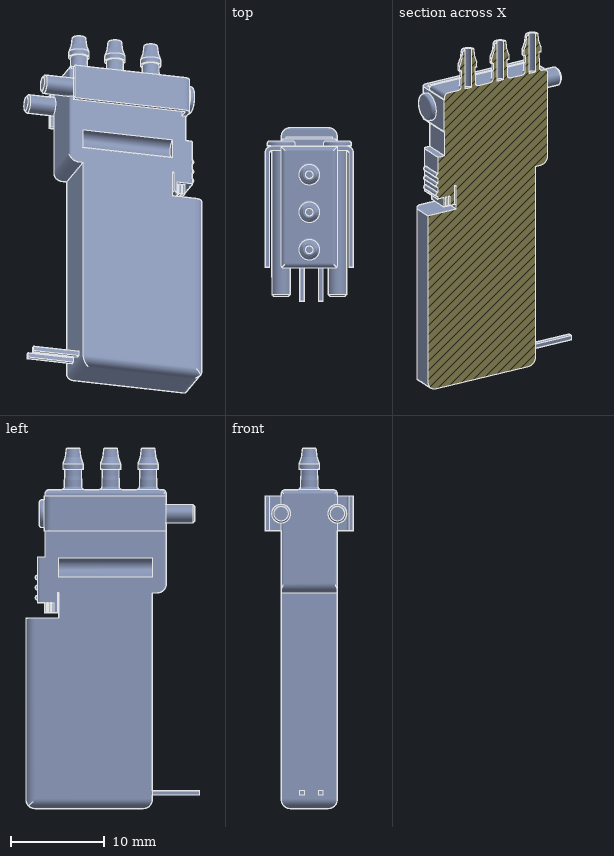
import cadquery as cq

body_width = 6.0
half_width = body_width / 2

coil_back = 13.48
coil_top = 20.3
coil_round = 1.0
back_bevel_depth = 0.23
back_bevel_drop = 0.05

total_height = 38.4
head_front = -1.5
head_back = 11.45
head_bottom = 22.95
head_top = 34.0
head_foot_round = 1.0
head_front_round = 0.3
head_top_round = 0.5

neck_back = 10.0
slot_width = 0.1
slot_top = 23.0
lip_back = 10.5
lip_bottom = 20.85

plug_back = 12.25
plug_bottom = 21.93
plug_top = 26.8
plug_round = 0.35

ridge_length = 5.0
ridge_radius = 0.25
ridge_centre_inset = 0.05
ridge_spacing = 1.08
ridge_lowest = 22.45
ridge_count = 3

contact_back = 11.5
contact_width = 5.0
contact_count = 3
contact_gap = 0.1

groove_radius = 1.0
groove_z = 25.7

clip_width = 9.4
clip_thickness = 0.5
clip_bottom = 29.55
clip_top = 33.3
clip_front = -1.42
clip_back = 11.52
clip_bend_radius = 0.73

screw_diameter = 2.0
screw_z = 31.4
screw_tip = -4.55
screw_tip_chamfer = 0.23
screw_head_diameter = 3.0
screw_head_thickness = 0.55
screw_head_round = 0.3

barb_spacing = 4.0
barb_first_y = 0.45
barb_count = 3
barb_bore_diameter = 0.8
barb_bore_depth = 4.4
barb_root_flare = 0.3

pin_width = 0.5
pin_spacing = 2.0
pin_centre_x = 0.23
pin_z = 1.7
pin_tip = -5.03


def box(x_range, y_range, z_range):
    """Axis-aligned box between the given pairs of limits."""
    lows, highs = zip(x_range, y_range, z_range)
    size = [high - low for low, high in zip(lows, highs)]
    return cq.Workplane("XY").box(*size, centered=False).translate(lows)


def cylinder_along_y(diameter, x, z, y_start, y_end):
    """Round bar parallel to Y between two Y positions."""
    bar = cq.Workplane("XZ").circle(diameter / 2).extrude(y_start - y_end)
    return bar.translate((x, y_start, z))


def make_coil():
    """Solenoid coil housing with the neck that rises into the head."""
    across = (-half_width, half_width)
    block = box(across, (0, coil_back), (0, coil_top))
    round_backed = block.edges("|Z and >Y").fillet(coil_round)
    round_footed = block.faces("<Z").edges().fillet(coil_round)
    coil = round_backed.intersect(round_footed)
    bevel = (
        cq.Workplane("YZ")
        .moveTo(coil_back, coil_top)
        .lineTo(coil_back - back_bevel_depth, coil_top)
        .lineTo(coil_back, coil_top - back_bevel_drop)
        .close()
        .extrude(half_width, both=True)
    )
    coil = coil.cut(bevel)
    neck = box(across, (0, neck_back), (coil_top - coil_round, head_bottom + head_foot_round))
    return coil.union(neck)


def make_head():
    """Valve head, rounded along its lower front edge, its front corners and its top."""
    block = box((-half_width, half_width), (head_front, head_back), (head_bottom, head_top))
    round_footed = block.edges("|X and <Y and <Z").fillet(head_foot_round)
    round_topped = block.faces(">Z").edges().fillet(head_top_round)
    round_cornered = block.edges("|Z and <Y").fillet(head_front_round)
    return round_footed.intersect(round_topped).intersect(round_cornered)


def make_plug():
    """Connector on the back of the neck: housing, lip, contacts and grip ridges."""
    across = (-half_width, half_width)
    plug = box(across, (neck_back, plug_back), (plug_bottom, plug_top))
    plug = plug.edges("|Z and >Y").fillet(plug_round)
    plug = plug.union(box(across, (neck_back, lip_back), (lip_bottom, plug_top)))

    contact_pitch = (contact_back + contact_gap - lip_back) / contact_count
    for index in range(contact_count):
        front = lip_back + index * contact_pitch
        contact = box(
            (-contact_width / 2, contact_width / 2),
            (front, front + contact_pitch - contact_gap),
            (lip_bottom, plug_top),
        )
        plug = plug.union(contact)

    for index in range(ridge_count):
        ridge = cq.Workplane("YZ").circle(ridge_radius).extrude(ridge_length / 2, both=True)
        ridge_z = ridge_lowest + index * ridge_spacing
        plug = plug.union(ridge.translate((0, plug_back - ridge_centre_inset, ridge_z)))
    return plug


def make_clip():
    """U-shaped sheet clip that wraps the back and both sides of the head."""
    outer = box((-clip_width / 2, clip_width / 2), (clip_front, clip_back), (clip_bottom, clip_top))
    outer = outer.edges("|Z and >Y").fillet(clip_bend_radius)
    inner_half = clip_width / 2 - clip_thickness
    inner = box(
        (-inner_half, inner_half),
        (clip_front, clip_back - clip_thickness),
        (clip_bottom, clip_top),
    )
    inner = inner.edges("|Z and >Y").fillet(clip_bend_radius - clip_thickness)
    return outer.cut(inner)


def make_screw(x):
    """Mounting screw running along one side of the head."""
    shank = cylinder_along_y(screw_diameter, x, screw_z, screw_tip, clip_back)
    shank = shank.faces("<Y").edges().chamfer(screw_tip_chamfer)
    cap = cylinder_along_y(screw_head_diameter, x, screw_z, clip_back, clip_back + screw_head_thickness)
    cap = cap.faces(">Y").edges().fillet(screw_head_round)
    return shank.union(cap)


def make_barb(y):
    """Hose barb standing on the head, flared at its root."""
    root_radius = 0.94
    neck_radius = 0.902
    flange_radius = 1.095
    cone_top_radius = 0.85
    tip_radius = 0.75
    tip_round = 0.15
    root_top_z = 35.0
    neck_bottom_z = 35.45
    flange_bottom_z = 36.15
    flange_top_z = 36.7
    cone_top_z = 37.45
    barb = (
        cq.Workplane("XZ")
        .moveTo(0, head_top)
        .lineTo(root_radius + barb_root_flare, head_top)
        .radiusArc((root_radius, head_top + barb_root_flare), barb_root_flare)
        .lineTo(root_radius, root_top_z)
        .lineTo(neck_radius, neck_bottom_z)
        .lineTo(neck_radius, flange_bottom_z)
        .lineTo(flange_radius, flange_bottom_z)
        .lineTo(flange_radius, flange_top_z)
        .lineTo(cone_top_radius, cone_top_z)
        .lineTo(tip_radius, total_height - tip_round)
        .radiusArc((tip_radius - tip_round, total_height), -tip_round)
        .lineTo(0, total_height)
        .close()
        .revolve(360, (0, 0, 0), (0, 1, 0))
    )
    return barb.translate((0, y, 0))


def make_pin(x):
    """Square electrical pin sticking out of the coil's front."""
    half = pin_width / 2
    return box((x - half, x + half), (pin_tip, 0), (pin_z - half, pin_z + half))


result = make_coil().union(make_head()).union(make_plug())

for side in (-1, 1):
    result = result.cut(cylinder_along_y(2 * groove_radius, side * half_width, groove_z, 0, neck_back))

result = result.cut(
    box((-half_width, half_width), (neck_back, neck_back + slot_width), (lip_bottom, slot_top))
)

result = result.union(make_clip())
for side in (-1, 1):
    result = result.union(make_screw(side * half_width))
    result = result.union(make_pin(pin_centre_x + side * pin_spacing / 2))

for index in range(barb_count):
    barb_y = barb_first_y + index * barb_spacing
    result = result.union(make_barb(barb_y))
    bore = cq.Workplane("XY").circle(barb_bore_diameter / 2).extrude(-barb_bore_depth)
    result = result.cut(bore.translate((0, barb_y, total_height)))